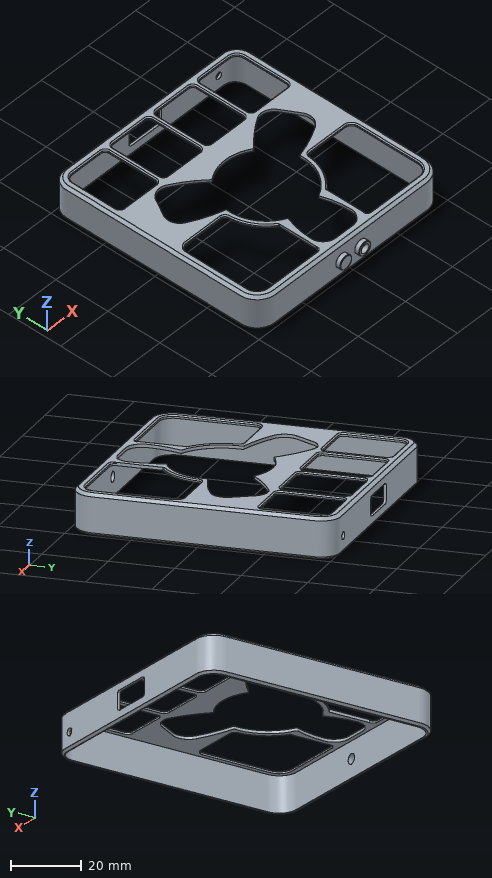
import cadquery as cq
import math

WIDTH = 78.4
OVERALL_LENGTH = 81.75
HEIGHT = 12.5
BOSS_PROTRUSION = 1.7
LENGTH = OVERALL_LENGTH - BOSS_PROTRUSION
BACK_CORNER_RADIUS = 6.0
FRONT_CORNER_RADIUS = 7.2
TOP_CHAMFER = 1.0
BOTTOM_CHAMFER = 0.7
WALL = 1.4
BACK_WALL = 0.9
PLATE = 1.0

RIM = 2.95
EDGE_CHAMFER = 0.4
WINDOW_RADIUS = 1.6
BACK_WINDOW_COUNT = 4
BACK_WINDOW_BAR = 1.8
BACK_WINDOW_FRONT_Y = 16.0
SIDE_WINDOW_BACK_Y = -7.0
SIDE_WINDOW_BACK_RADIUS = 2.6
SIDE_WINDOW_INNER_X = 10.0

HUB_Y = -7.35
HUB_RADIUS = 15.6
HUB_RIB = 1.7
FRONT_LOBE_REACH = 29.9
BACK_LOBE_REACH = 31.9
LOBE_ROOT = 11.45
LOBE_HALF_WIDTH = 8.4
LOBE_TIP_RADIUS = 4.9
FRONT_LOBE_SIDE_RADIUS = 30.0
BACK_LOBE_SIDE_RADIUS = 47.4
CUSP_RADIUS = 0.4

BOSS_X = 4.0
BOSS_Z = 6.0
BOSS_DIAMETER = 5.0
BOSS_CHAMFER = 0.205
PORT_DIAMETER = 3.2
PIN_HOLE_DIAMETER = 2.3
PIN_HOLE_X = 31.15
PIN_HOLE_Z = 5.15
SLOT_WIDTH = 13.6
SLOT_HEIGHT = 6.1
SLOT_Z = 6.2
SLOT_RADIUS = 1.0

HALF_WIDTH = WIDTH / 2
FRONT_Y = -LENGTH / 2
BACK_Y = LENGTH / 2


def rounded_block(side_inset, front_inset, back_inset, height):
    """Block with the frame's outline moved inward, its corners shrunk by the side inset."""
    length = LENGTH - front_inset - back_inset
    block = cq.Workplane("XY").rect(WIDTH - 2 * side_inset, length).extrude(height)
    block = block.translate((0, (front_inset - back_inset) / 2, 0))
    block = block.edges("|Z and >Y").fillet(BACK_CORNER_RADIUS - side_inset)
    return block.edges("|Z and <Y").fillet(FRONT_CORNER_RADIUS - side_inset)


def frame():
    """Chamfered tray, open below, with a thin plate on top."""
    outer = rounded_block(0, 0, 0, HEIGHT)
    outer = outer.faces(">Z").chamfer(TOP_CHAMFER)
    outer = outer.faces("<Z").chamfer(BOTTOM_CHAMFER)
    return outer.cut(rounded_block(WALL, WALL, BACK_WALL, HEIGHT - PLATE))


def plate_box(x_low, x_high, y_low, y_high):
    """Box as deep as the top plate, at the plate's height."""
    box = cq.Workplane("XY").box(x_high - x_low, y_high - y_low, PLATE, centered=False)
    return box.translate((x_low, y_low, HEIGHT - PLATE))


def within_rim(window):
    """Round the window's outer corners to follow the frame's corners."""
    return window.intersect(rounded_block(RIM, RIM, RIM, HEIGHT))


def flared(window):
    """Add the chamfer around the window's top edge."""
    flare = window.faces(">Z").wires().toPending()
    flare = flare.extrude(EDGE_CHAMFER, taper=-45, combine=False)
    return window.union(flare.translate((0, 0, -EDGE_CHAMFER)))


def back_windows():
    """Row of equal windows along the back wall."""
    row_width = WIDTH - 2 * RIM
    bars_width = (BACK_WINDOW_COUNT - 1) * BACK_WINDOW_BAR
    width = (row_width - bars_width) / BACK_WINDOW_COUNT
    windows = []
    for index in range(BACK_WINDOW_COUNT):
        x_low = -row_width / 2 + index * (width + BACK_WINDOW_BAR)
        window = plate_box(x_low, x_low + width, BACK_WINDOW_FRONT_Y, BACK_Y - RIM)
        window = window.edges("|Z").fillet(WINDOW_RADIUS)
        windows.append(flared(within_rim(window)))
    return windows


def left_side_window():
    """Front-left window, hollowed by the rib around the hub; its inner edge is not chamfered."""
    window = plate_box(
        RIM - HALF_WIDTH, -SIDE_WINDOW_INNER_X, FRONT_Y + RIM, SIDE_WINDOW_BACK_Y
    )
    hub = cq.Workplane("XY").center(0, HUB_Y).circle(HUB_RADIUS + HUB_RIB).extrude(HEIGHT)
    window = window.cut(hub)
    window = window.edges("|Z").edges(">Y").edges("<X").fillet(SIDE_WINDOW_BACK_RADIUS)
    window = window.edges("|Z").edges(">Y").edges(">X").fillet(WINDOW_RADIUS)
    window = window.edges("|Z").edges("<Y").edges(">X").fillet(WINDOW_RADIUS)
    left_of_inner_edge = plate_box(-HALF_WIDTH, -SIDE_WINDOW_INNER_X, FRONT_Y, BACK_Y)
    return flared(within_rim(window)).intersect(left_of_inner_edge)


def lobe(reach, side_radius):
    """One lobe pointing along -Y from the hub centre, with bowed sides and a flat tip."""
    tip_y = -reach
    side_y = tip_y + LOBE_TIP_RADIUS
    flat_x = LOBE_HALF_WIDTH - LOBE_TIP_RADIUS
    diagonal = LOBE_TIP_RADIUS * math.sqrt(0.5)
    root_angle = math.asin((-LOBE_ROOT - side_y) / side_radius)

    def side_point(angle):
        x = LOBE_HALF_WIDTH - side_radius * (1 - math.cos(angle))
        return x, side_y + side_radius * math.sin(angle)

    middle_x, middle_y = side_point(root_angle / 2)
    root_x, root_y = side_point(root_angle)
    corner_x = flat_x + diagonal
    corner_y = side_y - diagonal
    outline = (
        cq.Workplane("XY")
        .moveTo(-root_x, root_y)
        .threePointArc((-middle_x, middle_y), (-LOBE_HALF_WIDTH, side_y))
        .threePointArc((-corner_x, corner_y), (-flat_x, tip_y))
        .lineTo(flat_x, tip_y)
        .threePointArc((corner_x, corner_y), (LOBE_HALF_WIDTH, side_y))
        .threePointArc((middle_x, middle_y), (root_x, root_y))
        .close()
    )
    return outline.extrude(PLATE)


def hub_opening():
    """Round hub with three lobes, softened at the cusps between them."""
    opening = cq.Workplane("XY").circle(HUB_RADIUS).extrude(PLATE)
    opening = opening.union(lobe(FRONT_LOBE_REACH, FRONT_LOBE_SIDE_RADIUS))
    back_lobe = lobe(BACK_LOBE_REACH, BACK_LOBE_SIDE_RADIUS)
    for angle in (120, 240):
        opening = opening.union(back_lobe.rotate((0, 0, 0), (0, 0, 1), angle))
    hub_zone = cq.selectors.BoxSelector(
        (-HUB_RADIUS, -HUB_RADIUS, 0), (HUB_RADIUS, HUB_RADIUS, PLATE)
    )
    opening = opening.edges("|Z").edges(hub_zone).fillet(CUSP_RADIUS)
    return opening.translate((0, HUB_Y, HEIGHT - PLATE))


def rod(diameter, x, z, y_low, y_high):
    """Cylinder along Y."""
    return cq.Workplane("XZ", origin=(x, y_high, z)).circle(diameter / 2).extrude(y_high - y_low)


def boss(x):
    """Round boss standing out from the front wall."""
    tip_y = FRONT_Y - BOSS_PROTRUSION
    return rod(BOSS_DIAMETER, x, BOSS_Z, tip_y, FRONT_Y + WALL).faces("<Y").chamfer(BOSS_CHAMFER)


def port():
    """Bore through the right-hand boss and the front wall."""
    return rod(PORT_DIAMETER, BOSS_X, BOSS_Z, FRONT_Y - BOSS_PROTRUSION, FRONT_Y + WALL)


def pin_hole():
    return rod(PIN_HOLE_DIAMETER, PIN_HOLE_X, PIN_HOLE_Z, BACK_Y - BACK_WALL, BACK_Y)


def back_slot():
    """Rounded slot through the middle of the back wall."""
    slot = cq.Workplane("XY").box(SLOT_WIDTH, 2 * BACK_WALL, SLOT_HEIGHT)
    slot = slot.edges("|Y").fillet(SLOT_RADIUS)
    return slot.translate((0, BACK_Y, SLOT_Z))


result = frame()
for back_window in back_windows():
    result = result.cut(back_window)
side_window = left_side_window()
result = result.cut(side_window).cut(side_window.mirror("YZ"))
result = result.cut(hub_opening())
for boss_x in (-BOSS_X, BOSS_X):
    result = result.union(boss(boss_x))
result = result.cut(port()).cut(pin_hole()).cut(back_slot())